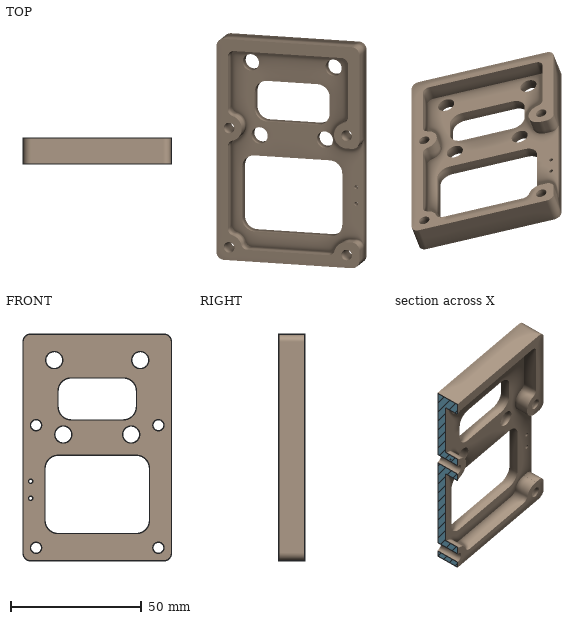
import cadquery as cq

WIDTH = 57.0
THICKNESS = 10.0
HEIGHT = 87.0
CORNER_RADIUS = 3.0
CENTER_X = WIDTH / 2

WEB = 4.0
RIM = 4.5
POCKET_RADIUS = 2.5

SCREW_INSET = 5.05
SCREW_DIAMETER = 4.2
SCREW_LOW_Z = SCREW_INSET
SCREW_PITCH = 47.0
POST_RADIUS = SCREW_INSET
MOUTH_RADIUS = 3.0

WINDOW_RADIUS = 5.0
UPPER_WINDOW = (29.9, 16.0)
UPPER_WINDOW_Z = 62.1
LOWER_WINDOW = (39.9, 29.9)
LOWER_WINDOW_Z = 25.5

LARGE_DIAMETER = 6.4
TOP_PAIR_SPACING = 33.0
TOP_PAIR_Z = 77.0
MIDDLE_PAIR_SPACING = 26.0
MIDDLE_PAIR_Z = 48.5
PIN_DIAMETER = 1.6
PIN_X = 3.0
PIN_LOW_Z = 24.0
PIN_PITCH = 6.5


def block(x_min, x_max, z_min, z_max, y_min=0.0, y_max=THICKNESS):
    """Box between the given limits."""
    size = (x_max - x_min, y_max - y_min, z_max - z_min)
    return cq.Workplane("XY").box(*size, centered=False).translate((x_min, y_min, z_min))


def hole(x, z, diameter):
    """Cylinder along Y through the whole thickness."""
    return cq.Workplane("XZ", origin=(x, 0, z)).circle(diameter / 2).extrude(-THICKNESS)


def window(size, center_z):
    """Rounded rectangular cutter through the whole thickness."""
    half_width = size[0] / 2
    half_height = size[1] / 2
    body = block(
        CENTER_X - half_width,
        CENTER_X + half_width,
        center_z - half_height,
        center_z + half_height,
    )
    return body.edges("|Y").fillet(WINDOW_RADIUS)


screw_xs = (SCREW_INSET, WIDTH - SCREW_INSET)
screw_zs = (SCREW_LOW_Z, SCREW_LOW_Z + SCREW_PITCH)
opening_low_z = screw_zs[0] + POST_RADIUS
opening_high_z = screw_zs[1] - POST_RADIUS


def pocket():
    """Back pocket that curves around the posts and opens through the left side."""
    cutter = block(RIM, WIDTH - RIM, RIM, HEIGHT - RIM, WEB)
    for x in screw_xs:
        for z in screw_zs:
            cutter = cutter.cut(hole(x, z, 2 * POST_RADIUS))

    left_wall = cq.selectors.BoxSelector((0, 0, screw_zs[0]), (SCREW_INSET, THICKNESS, screw_zs[1]))
    corners = cq.selectors.ParallelDirSelector(cq.Vector(0, 1, 0)) - left_wall
    cutter = cutter.edges(corners).fillet(POCKET_RADIUS)

    opening = block(0, screw_xs[0], opening_low_z, opening_high_z, WEB)
    return cutter.union(opening)


def plate():
    """Solid plate with rounded corners."""
    return block(0, WIDTH, 0, HEIGHT).edges("|Y").fillet(CORNER_RADIUS)


def mouth_rounding(z, side):
    """Material removed where a post meets the left face; side is +1 above, -1 below."""
    return (
        cq.Workplane("XZ", origin=(0, WEB, z))
        .lineTo(MOUTH_RADIUS, 0)
        .radiusArc((0, -side * MOUTH_RADIUS), -side * MOUTH_RADIUS)
        .close()
        .extrude(WEB - THICKNESS)
    )


result = plate().cut(pocket())
result = result.cut(mouth_rounding(opening_low_z, 1))
result = result.cut(mouth_rounding(opening_high_z, -1))
result = result.cut(window(UPPER_WINDOW, UPPER_WINDOW_Z))
result = result.cut(window(LOWER_WINDOW, LOWER_WINDOW_Z))

for screw_x in screw_xs:
    for screw_z in screw_zs:
        result = result.cut(hole(screw_x, screw_z, SCREW_DIAMETER))

for spacing, pair_z in ((TOP_PAIR_SPACING, TOP_PAIR_Z), (MIDDLE_PAIR_SPACING, MIDDLE_PAIR_Z)):
    for side in (-1, 1):
        result = result.cut(hole(CENTER_X + side * spacing / 2, pair_z, LARGE_DIAMETER))

for pin_z in (PIN_LOW_Z, PIN_LOW_Z + PIN_PITCH):
    result = result.cut(hole(PIN_X, pin_z, PIN_DIAMETER))